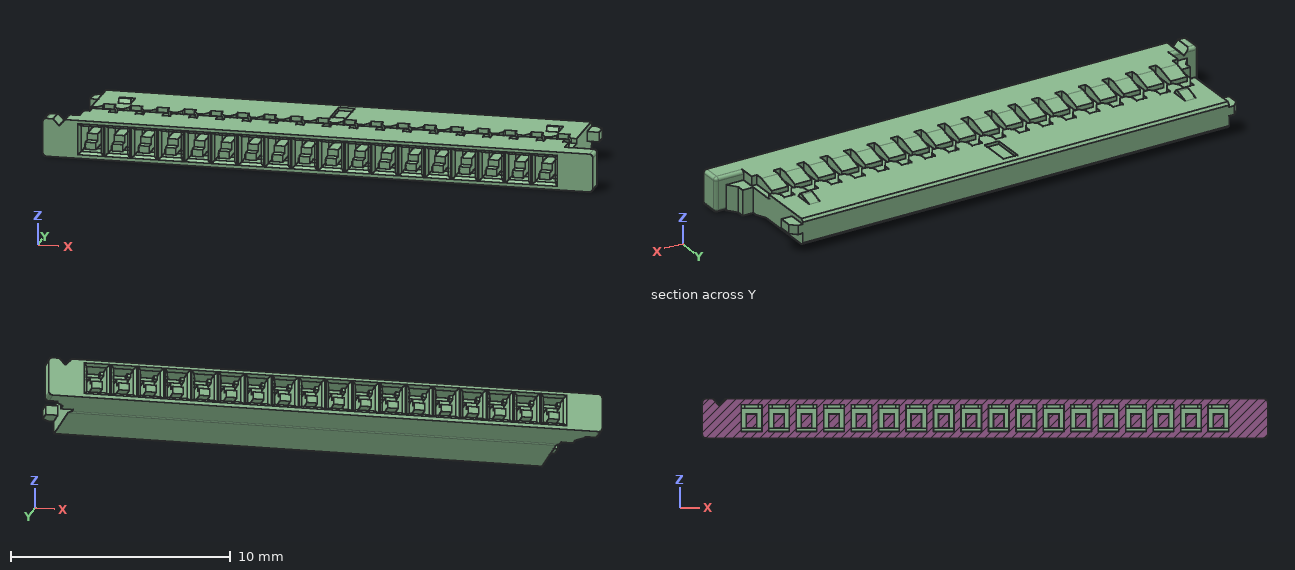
import cadquery as cq

length = 25.72
depth = 6.2
height = 1.8

body_half_width = 11.35
plate_bottom = 0.23
plate_top = 1.55
slope_front = 2.08
slope_back = 2.95
rear_chamfer = 0.13

contact_count = 18
row_width = 22.48
pitch = row_width / contact_count
contact_positions = [(i - (contact_count - 1) / 2) * pitch for i in range(contact_count)]

trench_floor = 1.3
trench_front = 1.7
trench_back = 3.22
tongue_back = 2.98
tongue_gap = 0.35
tongue_width = pitch - tongue_gap
notch_back = 3.83
notch_corner = 3.52
notch_narrow_width = 0.55
notch_wide_width = 0.95

flange_depth = 1.0
flange_round = 0.167
groove_left = -12.37
groove_width = 0.57
groove_depth = 0.3

ear_half_width = 11.9
ear_back = 1.85
ear_slope_back = 1.47
ear_root_half_width = 12.27
tab_front = 5.25
tab_bottom = 0.85
tab_top = 1.3
tab_chamfer = 0.3

bump_offset = 10.0
bump_width = 0.57
bump_front = 4.06
bump_crest_front = 4.22
bump_crest_back = 4.35
bump_back = 5.02
bump_height = 0.2
window_width = 0.75
window_front = 4.06
window_back = 5.7
window_depth = 0.15

mouth_width = 1.18
mouth_bottom = 0.18
mouth_top = 1.65
lead_in = 0.13
cavity_depth = 0.77
rear_cavity_depth = 1.55
rear_step = 0.15
roof_groove_width = 0.62
roof_groove_depth = 1.15
block_width = 0.5
block_lower_top = 0.8
block_upper_top = 1.1
block_upper_front = 0.4


def box(x_center, width, y_front, y_back, z_bottom, z_top):
    """Rectangular block centred on x_center."""
    return cq.Workplane("XY").box(
        width, y_back - y_front, z_top - z_bottom, centered=(True, False, False)
    ).translate((x_center, y_front, z_bottom))


def side_profile(points, x_center, width):
    """Extrude a (Y, Z) outline along X, centred on x_center."""
    return cq.Workplane("YZ", origin=(x_center - width / 2, 0, 0)).polyline(points).close().extrude(width)


def plan_profile(points, z_bottom, z_top):
    """Extrude an (X, Y) outline upwards."""
    return cq.Workplane("XY", origin=(0, 0, z_bottom)).polyline(points).close().extrude(z_top - z_bottom)


def repeat_along_row(shape):
    """Copy a shape centred on X = 0 to every contact position."""
    copies = [shape.val().translate(cq.Vector(x, 0, 0)) for x in contact_positions]
    return cq.Workplane(cq.Compound.makeCompound(copies))


def make_body():
    outline = [
        (0, 0),
        (slope_front, 0),
        (slope_back, plate_bottom),
        (depth - rear_chamfer, plate_bottom),
        (depth, plate_bottom + rear_chamfer),
        (depth, plate_top - rear_chamfer),
        (depth - rear_chamfer, plate_top),
        (trench_back, plate_top),
        (trench_back, trench_floor),
        (trench_front, trench_floor),
        (trench_front, height),
        (0, height),
    ]
    return side_profile(outline, 0, 2 * body_half_width)


def make_flange():
    flange = box(0, length, 0, flange_depth, 0, height)
    flange = flange.edges("(>X or <X or >Y) and (not <Y)").fillet(flange_round)
    groove = cq.Workplane("XZ").polyline([
        (groove_left, height),
        (groove_left + groove_width / 2, height - groove_depth),
        (groove_left + groove_width, height),
    ]).close().extrude(-flange_depth)
    return flange.cut(groove)


def make_ear(side):
    outline = [
        (0, 0),
        (side * ear_root_half_width, 0),
        (side * ear_root_half_width, flange_depth),
        (side * ear_half_width, ear_slope_back),
        (side * ear_half_width, ear_back),
        (0, ear_back),
    ]
    return plan_profile(outline, 0, trench_floor)


def make_tab(side):
    outline = [
        (side * body_half_width, tab_front),
        (side * ear_half_width, tab_front),
        (side * ear_half_width, depth - tab_chamfer),
        (side * (ear_half_width - tab_chamfer), depth),
        (side * body_half_width, depth),
    ]
    return plan_profile(outline, tab_bottom, tab_top)


def make_bump(side):
    crest = plate_top + bump_height
    outline = [
        (bump_front, plate_top),
        (bump_crest_front, crest),
        (bump_crest_back, crest),
        (bump_back, plate_top),
    ]
    return side_profile(outline, side * bump_offset, bump_width)


def make_window():
    return box(0, window_width, window_front, window_back, plate_top - window_depth, plate_top)


def make_tongue():
    outline = [
        (trench_front, trench_floor),
        (tongue_back, trench_floor),
        (tongue_back, plate_top),
        (slope_front, height),
        (trench_front, height),
    ]
    return side_profile(outline, 0, tongue_width)


def make_notch():
    half_wide = notch_wide_width / 2
    half_narrow = notch_narrow_width / 2
    outline = [
        (-half_wide, trench_back),
        (-half_narrow, notch_corner),
        (-half_narrow, notch_back),
        (half_narrow, notch_back),
        (half_narrow, notch_corner),
        (half_wide, trench_back),
    ]
    return plan_profile(outline, trench_floor, height)


def make_cavity():
    """Hollow for one contact, less the stepped block left standing inside it."""
    width = mouth_width - 2 * lead_in
    bottom = mouth_bottom + lead_in
    top = mouth_top - lead_in
    mouth_height = mouth_top - mouth_bottom
    inlet = (
        cq.Workplane("XZ", origin=(0, 0, (mouth_bottom + mouth_top) / 2))
        .rect(mouth_width, mouth_height)
        .workplane(offset=-lead_in)
        .rect(width, top - bottom)
        .loft(combine=True)
    )
    rear_floor = bottom + rear_step
    rear_roof = top - rear_step
    hollow = (
        inlet
        .union(box(0, width, lead_in, cavity_depth, bottom, top))
        .union(box(0, width, lead_in, rear_cavity_depth, rear_floor, rear_roof))
        .union(box(0, roof_groove_width, lead_in, roof_groove_depth, rear_floor, top))
    )
    lower_block = box(0, block_width, 0, rear_cavity_depth, rear_floor, block_lower_top)
    upper_block = box(0, block_width, block_upper_front, rear_cavity_depth, rear_floor, block_upper_top)
    return hollow.cut(lower_block).cut(upper_block)


result = make_body().union(make_flange())
for side in (-1, 1):
    result = result.union(make_ear(side)).union(make_tab(side)).union(make_bump(side))

result = result.union(repeat_along_row(make_tongue()))
for cutter in (make_notch(), make_cavity()):
    result = result.cut(repeat_along_row(cutter))
result = result.cut(make_window())